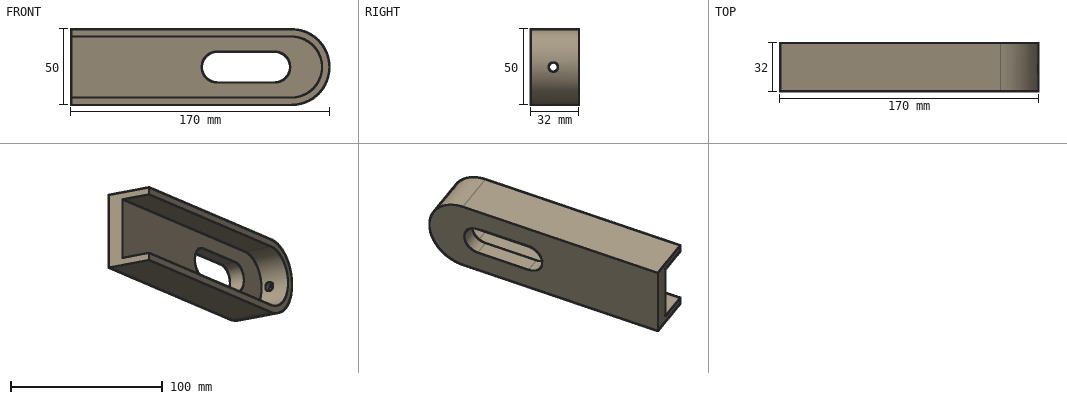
import cadquery as cq

length = 170.0
depth = 32.0
height = 50.0

wall = 5.0
floor = 11.0
pocket_depth = depth - floor

outer_radius = height / 2
inner_radius = outer_radius - wall
end_center_x = length - outer_radius

slot_start_x = 86.0
slot_length = 58.0
slot_width = 20.0

end_hole_diameter = 6.0
end_hole_from_open_side = 15.0


def round_ended_bar(radius, thickness):
    """Bar from X = 0 with a half-round +X end, extruded from Y = 0 toward +Y."""
    return (
        cq.Workplane("XZ")
        .moveTo(0, -radius)
        .lineTo(end_center_x, -radius)
        .threePointArc((end_center_x + radius, 0), (end_center_x, radius))
        .lineTo(0, radius)
        .close()
        .extrude(-thickness)
    )


body = round_ended_bar(outer_radius, depth)
pocket = round_ended_bar(inner_radius, pocket_depth)

floor_slot = (
    cq.Workplane("XZ")
    .center(slot_start_x + slot_length / 2, 0)
    .slot2D(slot_length, slot_width)
    .extrude(-depth)
)

end_hole = (
    cq.Workplane("YZ", origin=(end_center_x, 0, 0))
    .center(end_hole_from_open_side, 0)
    .circle(end_hole_diameter / 2)
    .extrude(outer_radius)
)

result = body.cut(pocket).cut(floor_slot).cut(end_hole)